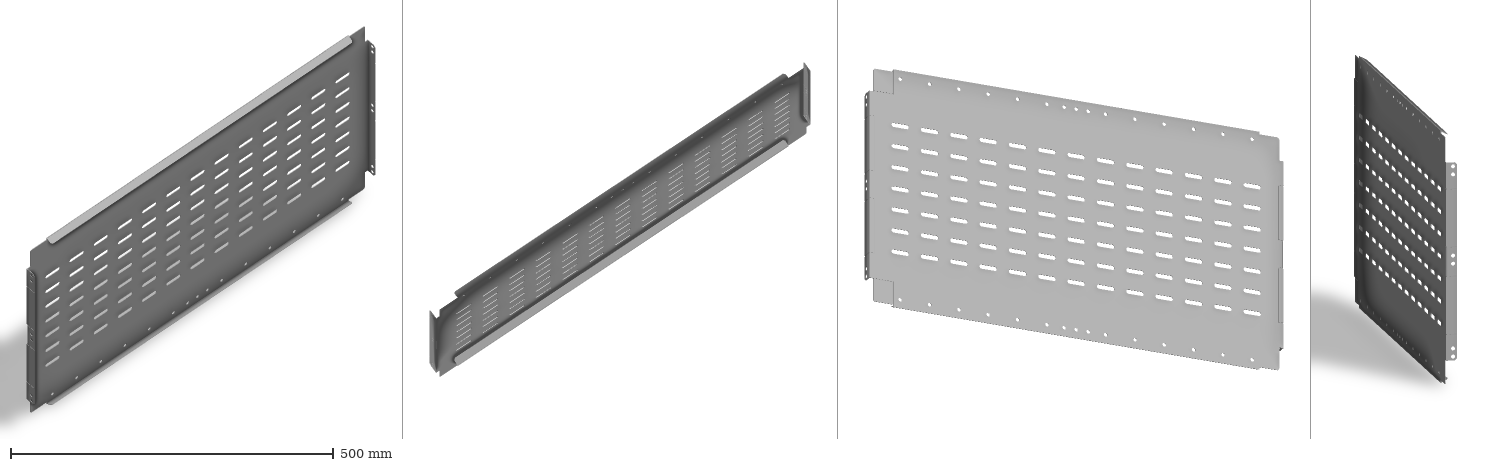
import cadquery as cq
import math

DEPTH = 17.5
LENGTH = 705.5
HEIGHT = 398.5
SHEET = 1.0
BACK = -DEPTH / 2

LIP_LENGTH = 624.0
BAND_HEIGHT = 313.0
CORNER_SPAN_Y = 691.5
CORNER_SPAN_Z = 390.0
CORNER_ROUND = 3.5

LIP_REACH = 12.0
LIP_ANGLE = 26.0
LIP_CHAMFER = 3.0
FLANGE_CHAMFER = 3.5

GROOVE_WIDTH = 1.5
GROOVE_DEPTH = SHEET / 2
WINDOW_LOW = 22.5
WINDOW_HIGH = 116.0
WINDOW_WIDTH = 9.0

BEND_RADIUS = 3.0

SLOT_COLUMNS = 13
SLOT_ROWS = 7
SLOT_GRID_LENGTH = 600.0
SLOT_GRID_HEIGHT = 212.5
PITCH_Y = SLOT_GRID_LENGTH / (SLOT_COLUMNS - 1)
SLOT_PITCH_Z = SLOT_GRID_HEIGHT / (SLOT_ROWS - 1)
SLOT_LENGTH = 29.5
SLOT_WIDTH = 7.0

EDGE_HOLE_DIAMETER = 6.0
EDGE_HOLE_Z = 185.0
EXTRA_HOLE_Y = 20.5

FLANGE_HOLE_DIAMETER = 6.0
FLANGE_HOLE_X = BACK + 11.0
FLANGE_HOLE_SPACING = 13.0
FLANGE_PAIR_CENTRES = (-144.0, 3.0, 144.0)


def box(x_range, y_range, z_range):
    """Axis-aligned box between pairs of limits."""
    sizes = [high - low for low, high in (x_range, y_range, z_range)]
    corner = (x_range[0], y_range[0], z_range[0])
    return cq.Workplane("XY").box(*sizes, centered=False).translate(corner)


def sheet_plane():
    """Sketch plane on the flat face: local x is +Y, local y is +Z, normal +X."""
    return cq.Workplane("YZ", origin=(BACK, 0, 0))


def flat_panel():
    middle = sheet_plane().rect(LIP_LENGTH, HEIGHT).extrude(SHEET)
    band = sheet_plane().rect(LENGTH, BAND_HEIGHT).extrude(SHEET)
    corners = sheet_plane().rect(CORNER_SPAN_Y, CORNER_SPAN_Z).extrude(SHEET)
    corners = corners.edges("|X").fillet(CORNER_ROUND)
    return middle.union(band).union(corners)


def top_lip():
    """Lip folded back along the top edge, leaning towards the panel centre."""
    slope = math.radians(LIP_ANGLE)
    drop = SHEET / math.cos(slope)
    top = HEIGHT / 2
    tip_top = top - LIP_REACH * math.tan(slope)
    end_x = BACK + LIP_REACH
    profile = [
        (BACK, top),
        (end_x, tip_top),
        (end_x - SHEET * math.sin(slope), tip_top - SHEET * math.cos(slope)),
        (BACK, top - drop),
    ]
    lip = cq.Workplane("XZ").polyline(profile).close().extrude(LIP_LENGTH / 2, both=True)
    half = LIP_LENGTH / 2
    outline = [
        (BACK, -half),
        (end_x - LIP_CHAMFER, -half),
        (end_x, -half + LIP_CHAMFER),
        (end_x, half - LIP_CHAMFER),
        (end_x - LIP_CHAMFER, half),
        (BACK, half),
    ]
    trim = cq.Workplane("XY").polyline(outline).close().extrude(HEIGHT)
    return lip.intersect(trim)


def end_flange():
    """Flange at the -Y end, at right angles to the panel, with clipped corners."""
    flange = box(
        (BACK, BACK + DEPTH),
        (-LENGTH / 2, -LENGTH / 2 + SHEET),
        (-BAND_HEIGHT / 2, BAND_HEIGHT / 2),
    )
    return flange.faces(">X").edges("|Y").chamfer(FLANGE_CHAMFER)


def window_groove():
    """Groove around the upper -Y window, running over the fold onto the flange."""
    end_y = -LENGTH / 2
    inner_y = end_y + WINDOW_WIDTH
    x_range = (BACK, BACK + DEPTH)
    frame = box(x_range, (end_y, inner_y), (WINDOW_LOW, WINDOW_HIGH))
    window = box(
        x_range,
        (end_y, inner_y - GROOVE_WIDTH),
        (WINDOW_LOW + GROOVE_WIDTH, WINDOW_HIGH - GROOVE_WIDTH),
    )
    below_skin = box(
        (BACK + GROOVE_DEPTH, BACK + DEPTH),
        (end_y + GROOVE_DEPTH, inner_y),
        (WINDOW_LOW, WINDOW_HIGH),
    )
    return frame.cut(window).cut(below_skin)


def corner_groove():
    """L-shaped groove setting off the upper +Y corner of the panel."""
    x_range = (BACK, BACK + GROOVE_DEPTH)
    inner_y = LIP_LENGTH / 2
    inner_z = BAND_HEIGHT / 2
    end_y = CORNER_SPAN_Y / 2
    end_z = CORNER_SPAN_Z / 2
    area = box(x_range, (inner_y, end_y), (inner_z, end_z))
    tile = box(x_range, (inner_y + GROOVE_WIDTH, end_y), (inner_z + GROOVE_WIDTH, end_z))
    return area.cut(tile)


def round_middle_bend(body):
    """Replace the sharp -Y fold between the windows by a rounded one."""
    end_y = -LENGTH / 2
    z_range = (-WINDOW_LOW, WINDOW_LOW)
    corner = box((BACK, BACK + BEND_RADIUS), (end_y, end_y + BEND_RADIUS), z_range)
    bend_axis = cq.Workplane("XY", origin=(BACK + BEND_RADIUS, end_y + BEND_RADIUS, -WINDOW_LOW))
    ring = bend_axis.circle(BEND_RADIUS).circle(BEND_RADIUS - SHEET).extrude(2 * WINDOW_LOW)
    return body.cut(corner).union(ring.intersect(corner))


def panel_openings():
    """Slot grid and the two rows of edge holes."""
    slots = (
        sheet_plane()
        .rarray(PITCH_Y, SLOT_PITCH_Z, SLOT_COLUMNS, SLOT_ROWS)
        .slot2D(SLOT_LENGTH, SLOT_WIDTH)
        .extrude(SHEET)
    )
    half_columns = SLOT_COLUMNS // 2
    hole_ys = [PITCH_Y * step for step in range(-half_columns, half_columns + 1)]
    hole_ys += [-EXTRA_HOLE_Y, EXTRA_HOLE_Y]
    hole_points = [(y, z) for y in hole_ys for z in (-EDGE_HOLE_Z, EDGE_HOLE_Z)]
    holes = sheet_plane().pushPoints(hole_points).circle(EDGE_HOLE_DIAMETER / 2).extrude(SHEET)
    return slots.union(holes)


def flange_holes():
    """Fixing holes running through both end flanges."""
    half_gap = FLANGE_HOLE_SPACING / 2
    points = [
        (FLANGE_HOLE_X, centre + offset)
        for centre in FLANGE_PAIR_CENTRES
        for offset in (-half_gap, half_gap)
    ]
    holes = cq.Workplane("XZ").pushPoints(points).circle(FLANGE_HOLE_DIAMETER / 2)
    return holes.extrude(LENGTH / 2, both=True)


lip = top_lip()
flange = end_flange()
panel = flat_panel()
panel = panel.union(lip).union(lip.mirror("XY"))
panel = panel.union(flange).union(flange.mirror("XZ"))
for groove in (window_groove(), window_groove().mirror("XZ"), corner_groove()):
    panel = panel.cut(groove).cut(groove.mirror("XY"))
panel = round_middle_bend(panel)
result = panel.cut(panel_openings()).cut(flange_holes())